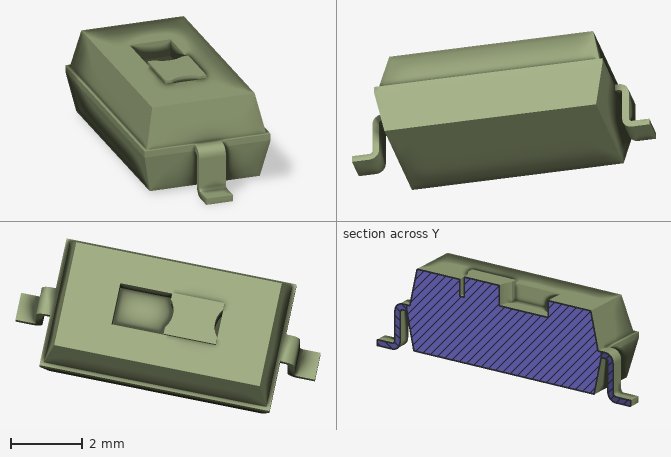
import cadquery as cq

RIM_LENGTH = 6.61
RIM_WIDTH = 3.77
UPPER_BASE_INSET = 0.1
TOP_INSET = 0.35
BOTTOM_INSET = 0.24
BOTTOM_Z = 0.1
TOP_Z = 2.6
METAL = 0.19
RIM_BOTTOM_Z = (BOTTOM_Z + TOP_Z - METAL) / 2
RIM_TOP_Z = RIM_BOTTOM_Z + METAL

SLOT_LENGTH = 3.0
SLOT_WIDTH = 1.22
SLOT_DEPTH = 0.51
KNOB_LENGTH = SLOT_LENGTH / 2
KNOB_TOP_Z = 2.7
SCALLOP_WIDTH = 0.83
SCALLOP_DEPTH = 0.15

LEAD_SPAN = 8.61
LEAD_WIDTH = 0.8
SHANK_OUTER_X = 3.71
INNER_BEND = 0.095
OUTER_BEND = INNER_BEND + METAL


def tapered_block(start_z, start_inset, end_z, end_inset):
    """Loft between two rectangles inset from the rim outline."""
    return (
        cq.Workplane("XY", origin=(0, 0, start_z))
        .rect(RIM_LENGTH - 2 * start_inset, RIM_WIDTH - 2 * start_inset)
        .workplane(offset=end_z - start_z)
        .rect(RIM_LENGTH - 2 * end_inset, RIM_WIDTH - 2 * end_inset)
        .loft(ruled=True)
    )


def make_knob():
    """Finger knob, molded with the housing, with a scallop in each end."""
    floor_z = TOP_Z - SLOT_DEPTH
    half_width = SLOT_WIDTH / 2
    half_scallop = SCALLOP_WIDTH / 2
    return (
        cq.Workplane("XY", origin=(0, 0, floor_z))
        .moveTo(0, -half_width)
        .lineTo(KNOB_LENGTH, -half_width)
        .lineTo(KNOB_LENGTH, -half_scallop)
        .threePointArc((KNOB_LENGTH - SCALLOP_DEPTH, 0), (KNOB_LENGTH, half_scallop))
        .lineTo(KNOB_LENGTH, half_width)
        .lineTo(0, half_width)
        .lineTo(0, half_scallop)
        .threePointArc((SCALLOP_DEPTH, 0), (0, -half_scallop))
        .close()
        .extrude(KNOB_TOP_Z - floor_z)
    )


def make_housing():
    rim = (
        cq.Workplane("XY", origin=(0, 0, RIM_BOTTOM_Z))
        .rect(RIM_LENGTH, RIM_WIDTH)
        .extrude(METAL)
    )
    lower = tapered_block(BOTTOM_Z, BOTTOM_INSET, RIM_BOTTOM_Z, 0)
    upper = tapered_block(RIM_TOP_Z, UPPER_BASE_INSET, TOP_Z, TOP_INSET)
    slot = (
        cq.Workplane("XY", origin=(0, 0, TOP_Z))
        .rect(SLOT_LENGTH, SLOT_WIDTH)
        .extrude(-SLOT_DEPTH)
    )
    return rim.union(lower).union(upper).cut(slot).union(make_knob())


def make_lead():
    """Lead on the +X side, from the rim out and down to its foot."""
    rim_x = RIM_LENGTH / 2
    foot_x = LEAD_SPAN / 2
    shank_inner_x = SHANK_OUTER_X - METAL
    lead = (
        cq.Workplane("XZ")
        .moveTo(rim_x, RIM_TOP_Z)
        .lineTo(SHANK_OUTER_X - OUTER_BEND, RIM_TOP_Z)
        .radiusArc((SHANK_OUTER_X, RIM_TOP_Z - OUTER_BEND), OUTER_BEND)
        .lineTo(SHANK_OUTER_X, METAL + INNER_BEND)
        .radiusArc((SHANK_OUTER_X + INNER_BEND, METAL), -INNER_BEND)
        .lineTo(foot_x, METAL)
        .lineTo(foot_x, 0)
        .lineTo(shank_inner_x + OUTER_BEND, 0)
        .radiusArc((shank_inner_x, OUTER_BEND), OUTER_BEND)
        .lineTo(shank_inner_x, RIM_BOTTOM_Z - INNER_BEND)
        .radiusArc((shank_inner_x - INNER_BEND, RIM_BOTTOM_Z), -INNER_BEND)
        .lineTo(rim_x, RIM_BOTTOM_Z)
        .close()
        .extrude(LEAD_WIDTH / 2, both=True)
    )
    return lead


housing = make_housing()

leads = []
for angle in (0, 180):
    leads.append(make_lead().rotate((0, 0, 0), (0, 0, 1), angle).val())

result = cq.Compound.makeCompound([housing.val(), *leads])